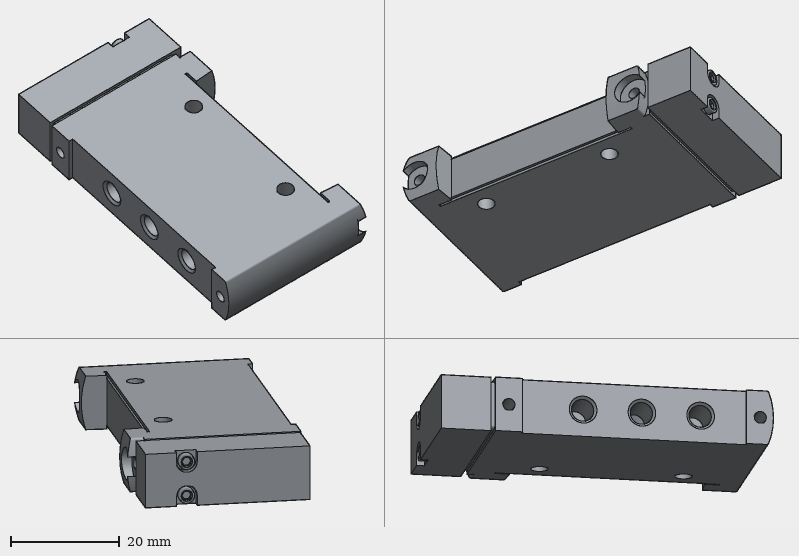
import cadquery as cq
import math

length = 62.0
width = 32.5
height = 10.2
half_height = height / 2

pilot_length = 9.3
pilot_y_min = 0.25
pilot_y_max = 31.0

gasket_y_min = 0.85
gasket_y_max = 29.2
gasket_inset_z = 0.6
gasket_corner = 0.55

cap_start = 10.1
cap_thickness = 5.0
middle_x = (cap_start + length) / 2
crown_x = 1.0
crown_y = 0.8
crown_fillet = 0.5
cap_hole_diameter = 2.25
cap_hole_from_end = 2.5
cap_recess_diameter = 6.0
cap_recess_depth = 1.9

foot_tip_reach = 7.4
foot_root_reach = 7.75

body_y_min = 0.85
body_y_max = 27.35
base_gasket_y_max = 27.8
base_gasket_inset_z = 0.6

mount_diameter = 3.2
mount_pitch = 26.9
mount_y = 23.4

port_diameter = 4.15
port_mouth_diameter = 5.15
port_mouth_depth = 0.5
port_depth = 8.7
port_pitch = 11.0
port_middle_x = 37.6
drill_point_angle = 118.0

screw_y = 23.25
screw_z = 3.2
pocket_width = 3.85
pocket_depth = 1.4
screw_head_diameter = 3.0
screw_head_height = 1.3
screw_head_fillet = 0.1
socket_diameter = 1.75
socket_mouth_diameter = 2.1
socket_mouth_depth = 0.25
socket_depth = 0.75


def box(x_min, x_max, y_min, y_max, z_height):
    """Block centred on the mid-plane."""
    size = (x_max - x_min, y_max - y_min, z_height)
    return cq.Workplane("XY").box(*size, centered=(False, False, True)).translate((x_min, y_min, 0))


def cylinder(start, direction, diameter, depth):
    """Round bar from a start point along a direction."""
    return cq.Workplane(cq.Solid.makeCylinder(diameter / 2, depth, cq.Vector(*start), cq.Vector(*direction)))


def cone(start, direction, start_diameter, end_diameter, depth):
    """Tapered round bar from a start point along a direction."""
    return cq.Workplane(
        cq.Solid.makeCone(start_diameter / 2, end_diameter / 2, depth, cq.Vector(*start), cq.Vector(*direction))
    )


def crowned_profile(plane, inner, outer, crown):
    """Outline with straight top and bottom and an outer end bulging by the crown."""
    return (
        cq.Workplane(plane)
        .moveTo(inner, -half_height)
        .lineTo(outer - crown, -half_height)
        .threePointArc((outer, 0), (outer - crown, half_height))
        .lineTo(inner, half_height)
        .close()
    )


def make_right_cap():
    """End cap with its foot, crowned on the outer end and on the back."""
    cap_inner = length - cap_thickness
    foot_tip = length - foot_tip_reach
    foot_root = length - foot_root_reach
    plan = (
        cq.Workplane("XY", origin=(0, 0, -half_height))
        .moveTo(length, 0)
        .lineTo(length, width)
        .lineTo(foot_tip, width)
        .lineTo(foot_root, base_gasket_y_max)
        .lineTo(cap_inner, base_gasket_y_max)
        .lineTo(cap_inner, 0)
        .close()
        .extrude(height)
    )
    end_crown = crowned_profile("XZ", foot_root, length, crown_x).extrude(-width)
    end_crown = end_crown.edges("|Y").edges(">X").fillet(crown_fillet)
    back_crown = crowned_profile("YZ", 0, width, crown_y).extrude(length)
    return plan.intersect(end_crown).intersect(back_crown)


def make_left_cap(right_cap):
    """Mirrored cap whose outer end is flat where the gasket seats."""
    mirrored = right_cap.mirror("YZ", (middle_x, 0, 0))
    return mirrored.union(box(cap_start, cap_start + cap_thickness, 0, gasket_y_max, height))


def drill_cap(part, x):
    """Through hole along Y with a round recess in the back of the foot."""
    hole = cylinder((x, 0, 0), (0, 1, 0), cap_hole_diameter, width)
    recess = cylinder((x, width, 0), (0, -1, 0), cap_recess_diameter, cap_recess_depth)
    return part.cut(hole).cut(recess)


def port(x, pointed):
    """Cutter for one port: chamfered mouth, bore, and a drill point if asked for."""
    mouth = (x, body_y_min, 0)
    bore_end = (x, body_y_min + port_depth, 0)
    inward = (0, 1, 0)
    cutter = cylinder(mouth, inward, port_diameter, port_depth)
    cutter = cutter.union(cone(mouth, inward, port_mouth_diameter, port_diameter, port_mouth_depth))
    if pointed:
        point_depth = port_diameter / 2 / math.tan(math.radians(drill_point_angle / 2))
        cutter = cutter.union(cone(bore_end, inward, port_diameter, 0, point_depth))
    return cutter


def make_body():
    """Valve body with mounting holes and ports, and the base gasket behind it."""
    x_min = cap_start + cap_thickness
    x_max = length - cap_thickness
    body = box(x_min, x_max, body_y_min, body_y_max, height)
    base_gasket_height = height - 2 * base_gasket_inset_z
    body = body.union(box(x_min, x_max, body_y_max, base_gasket_y_max, base_gasket_height))
    for side in (-1, 1):
        x = middle_x + side * mount_pitch / 2
        body = body.cut(cylinder((x, mount_y, -half_height), (0, 0, 1), mount_diameter, height))
    for step in (-1, 0, 1):
        body = body.cut(port(port_middle_x + step * port_pitch, pointed=(step == 0)))
    return body


def make_screw(side):
    """Screw head with a rounded rim and a countersunk hexagon socket."""
    base = (pocket_depth, screw_y, side * screw_z)
    top = (pocket_depth - screw_head_height, screw_y, side * screw_z)
    head = cylinder(base, (-1, 0, 0), screw_head_diameter, screw_head_height)
    head = head.faces("<X").edges().fillet(screw_head_fillet)
    socket = cq.Workplane("YZ", origin=top).polygon(6, socket_diameter).extrude(socket_depth)
    mouth = cone(top, (1, 0, 0), socket_mouth_diameter, socket_diameter, socket_mouth_depth)
    return head.cut(socket).cut(mouth)


def make_pilot():
    """Pilot block with a pocket and a screw near the top and bottom faces."""
    pilot = box(0, pilot_length, pilot_y_min, pilot_y_max, height)
    for side in (-1, 1):
        round_end = cylinder((0, screw_y, side * screw_z), (1, 0, 0), pocket_width, pocket_depth)
        open_side = (
            cq.Workplane("XY", origin=(0, screw_y, side * screw_z))
            .rect(2 * pocket_depth, pocket_width)
            .extrude(side * half_height)
        )
        pilot = pilot.cut(round_end).cut(open_side).union(make_screw(side))
    return pilot


def make_pilot_gasket():
    """Plate with rounded corners between the pilot block and the left cap."""
    plate = box(pilot_length, cap_start, gasket_y_min, gasket_y_max, height - 2 * gasket_inset_z)
    return plate.edges("|X").fillet(gasket_corner)


right_cap = make_right_cap()
left_cap = make_left_cap(right_cap)
right_cap = drill_cap(right_cap, length - cap_hole_from_end)
left_cap = drill_cap(left_cap, cap_start + cap_hole_from_end)

result = make_body().union(left_cap).union(right_cap).union(make_pilot_gasket()).union(make_pilot())